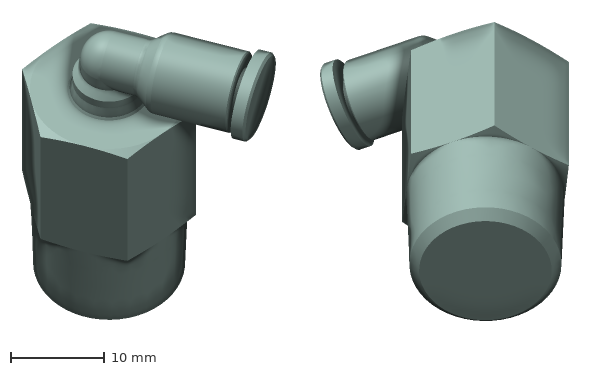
import cadquery as cq
import math

across_flats = 17.0
across_corners = across_flats / math.cos(math.radians(30))
hex_bottom_z = 12.05
hex_top_z = 29.45
hex_chamfer_angle = 15

thread_tip_radius = 7.1
thread_start_z = 1.05
thread_start_radius = 8.15
thread_taper = 1 / 16
thread_top_radius = thread_start_radius + (hex_bottom_z - thread_start_z) * thread_taper / 2

elbow_radius = 3.1
stem_foot_radius = 4.45
stem_base_radius = 4.23
stem_base_z = 29.7
collar_radius = 3.9
collar_bottom_z = 30.85
collar_top_z = 31.9
collar_cone_top_z = 32.8

total_height = 38.8
socket_radius = 4.5
arm_z = total_height - socket_radius
cone_start_x = 4.05
cone_end_x = 5.85
cone_start_fillet = 0.8
cone_end_fillet = 1.0
socket_end_x = 14.8
socket_end_chamfer = 0.15

button_neck_radius = 2.75
button_start_x = 15.52
button_end_x = 17.1
button_half_width = 5.4
button_half_height = 4.3
button_chamfer = 0.27


def revolve_about_z(points):
    """Solid of revolution from (radius, z) points; the outline starts and ends on the axis."""
    return cq.Workplane("XZ").polyline(points).close().revolve(360, (0, 0), (0, 1))


def make_thread_end():
    return revolve_about_z([
        (0, 0),
        (thread_tip_radius, 0),
        (thread_start_radius, thread_start_z),
        (thread_top_radius, hex_bottom_z),
        (0, hex_bottom_z),
    ])


def make_hexagon():
    """Hexagonal prism with corners on X, its corners trimmed by a cone at each end."""
    prism = (
        cq.Workplane("XY", origin=(0, 0, hex_bottom_z))
        .polygon(6, across_corners)
        .extrude(hex_top_z - hex_bottom_z)
    )
    flat_radius = across_flats / 2
    rim_radius = across_corners / 2
    rim_drop = (rim_radius - flat_radius) * math.tan(math.radians(hex_chamfer_angle))
    trimming_body = revolve_about_z([
        (0, hex_bottom_z),
        (flat_radius, hex_bottom_z),
        (rim_radius, hex_bottom_z + rim_drop),
        (rim_radius, hex_top_z - rim_drop),
        (flat_radius, hex_top_z),
        (0, hex_top_z),
    ])
    return prism.intersect(trimming_body)


def make_stem():
    return revolve_about_z([
        (0, hex_top_z),
        (stem_foot_radius, hex_top_z),
        (stem_base_radius, stem_base_z),
        (collar_radius, collar_bottom_z),
        (collar_radius, collar_top_z),
        (elbow_radius, collar_cone_top_z),
        (elbow_radius, arm_z),
        (0, arm_z),
    ])


def make_elbow_ball():
    return cq.Workplane("XY", origin=(0, 0, arm_z)).sphere(elbow_radius)


def make_arm():
    """Round arm that widens through a blended cone into the tube socket."""
    outline = [
        (0, 0),
        (0, elbow_radius),
        (cone_start_x, elbow_radius),
        (cone_end_x, socket_radius),
        (socket_end_x - socket_end_chamfer, socket_radius),
        (socket_end_x, socket_radius - socket_end_chamfer),
        (socket_end_x, 0),
    ]
    arm = (
        cq.Workplane("XZ", origin=(0, 0, arm_z))
        .polyline(outline)
        .close()
        .revolve(360, (0, 0), (1, 0))
    )
    for cone_x, radius in ((cone_start_x, cone_start_fillet), (cone_end_x, cone_end_fillet)):
        cone_edge = cq.selectors.NearestToPointSelector((cone_x, 0, arm_z))
        arm = arm.edges("%CIRCLE").edges(cone_edge).fillet(radius)
    return arm


def make_button():
    neck = (
        cq.Workplane("YZ", origin=(socket_end_x, 0, arm_z))
        .circle(button_neck_radius)
        .extrude(button_start_x - socket_end_x)
    )
    oval = (
        cq.Workplane("YZ", origin=(button_start_x, 0, arm_z))
        .ellipse(button_half_width, button_half_height)
        .extrude(button_end_x - button_start_x)
        .faces(">X")
        .chamfer(button_chamfer)
    )
    return neck.union(oval)


result = (
    make_thread_end()
    .union(make_hexagon())
    .union(make_stem())
    .union(make_elbow_ball())
    .union(make_arm())
    .union(make_button())
)